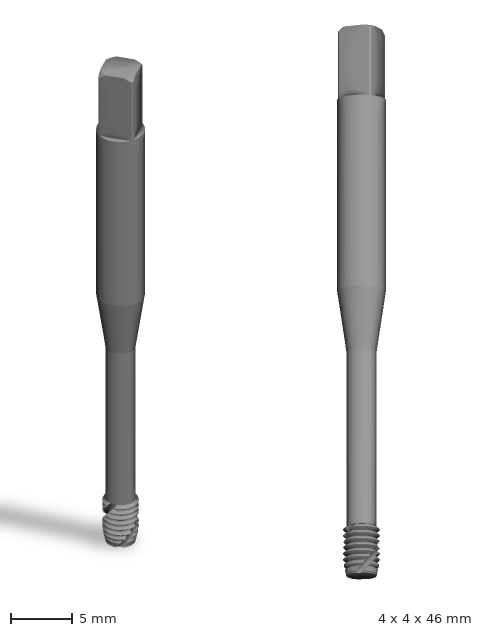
import cadquery as cq
import math


total_length = 46.0
square_length = 6.0
shank_length = 16.0
cone_length = 5.1
head_length = 4.15

shank_diameter = 4.0
neck_diameter = 2.5
thread_diameter = 3.0
square_width = 3.0

square_chamfer = 0.3

ring_pitch = 0.5
ring_flat = 0.07
root_diameter = 2.4
tip_diameter = 2.5
lead_in_length = 1.15

flute_count = 2
flute_lead = 9.48
flute_radius = 0.35
flute_center_radius = 1.43
flute_tip_angle = 103.0

shoulder_z = total_length - square_length
cone_top_z = shoulder_z - shank_length
cone_bottom_z = cone_top_z - cone_length
shank_radius = shank_diameter / 2
neck_radius = neck_diameter / 2
thread_radius = thread_diameter / 2
root_radius = root_diameter / 2


def revolve_outline(points):
    """Solid of revolution about Z from a closed outline of (radius, z) points."""
    return cq.Workplane("XZ").polyline(points).close().revolve(360, (0, 0), (0, 1))


def make_turned_shank():
    """Neck, cone and shank turned in one piece, ending at the shoulder under the square."""
    outline = [
        (0, head_length),
        (neck_radius, head_length),
        (neck_radius, cone_bottom_z),
        (shank_radius, cone_top_z),
        (shank_radius, shoulder_z),
        (0, shoulder_z),
    ]
    return revolve_outline(outline)


def make_driving_square():
    """Square whose corners lie on the shank cylinder, with a turned chamfer at the top."""
    chamfer_radius = shank_radius - square_chamfer
    envelope_outline = [
        (0, shoulder_z),
        (shank_radius, shoulder_z),
        (shank_radius, total_length - square_chamfer),
        (chamfer_radius, total_length),
        (0, total_length),
    ]
    envelope = revolve_outline(envelope_outline)
    prism = (
        cq.Workplane("XY", origin=(0, 0, shoulder_z))
        .rect(square_width, square_width)
        .extrude(square_length)
    )
    return prism.intersect(envelope)


def make_shank():
    return make_turned_shank().union(make_driving_square())


def make_ring_groove(groove_z):
    """V groove that leaves a narrow flat on the ring crests on either side."""
    half_mouth = (ring_pitch - ring_flat) / 2
    outline = [
        (root_radius, groove_z),
        (thread_radius, groove_z + half_mouth),
        (thread_radius, groove_z - half_mouth),
    ]
    return revolve_outline(outline)


def make_flute(tip_angle):
    """Round-bottomed right-hand helical flute, at tip_angle around the axis at the tip."""
    center_x = flute_center_radius * math.cos(math.radians(tip_angle))
    center_y = flute_center_radius * math.sin(math.radians(tip_angle))
    twist = 360 * head_length / flute_lead
    return (
        cq.Workplane("XY")
        .pushPoints([(center_x, center_y)])
        .circle(flute_radius)
        .twistExtrude(head_length, twist)
    )


def make_threaded_head():
    blank_outline = [
        (0, 0),
        (tip_diameter / 2, 0),
        (thread_radius, lead_in_length),
        (thread_radius, head_length),
        (0, head_length),
    ]
    head = revolve_outline(blank_outline)
    groove_count = math.floor(head_length / ring_pitch) + 1
    for index in range(groove_count):
        head = head.cut(make_ring_groove(head_length - index * ring_pitch))
    for index in range(flute_count):
        head = head.cut(make_flute(flute_tip_angle + index * 360 / flute_count))
    return head


shank = make_shank()
threaded_head = make_threaded_head()

result = cq.Compound.makeCompound([shank.val(), threaded_head.val()])